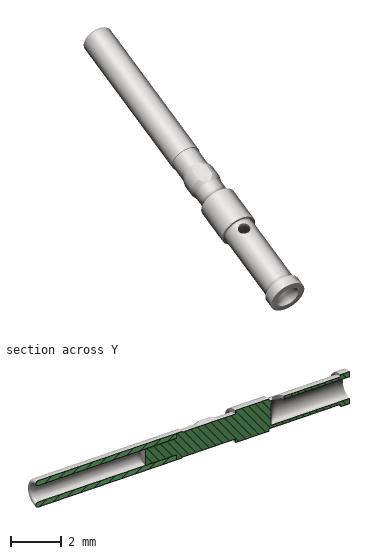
import cadquery as cq

TOTAL_LENGTH = 14.88
SLEEVE_END = 6.68
NECK_START = 6.95
BAND_START = 7.72
BAND_END = 8.75
BAND_BEVEL = 0.27
COLLAR_START = 9.45
COLLAR_END = 11.07
FLANGE_LENGTH = 0.45
WIRE_BORE_DEPTH = 3.72
SPIGOT_LENGTH = 1.49

SLEEVE_DIAMETER = 1.28
SOCKET_DIAMETER = 0.76
NECK_DIAMETER = 1.2
BAND_DIAMETER = 1.35
COLLAR_DIAMETER = 1.55
BARREL_DIAMETER = 1.32
WIRE_BORE_DIAMETER = 1.01

MOUTH_RADIUS = (SLEEVE_DIAMETER - SOCKET_DIAMETER) / 4

BAND_FLAT_HEIGHT = 1.2

INSPECTION_HOLE_DIAMETER = 0.5
INSPECTION_HOLE_X = 11.5


def cylinder_x(start, end, diameter):
    """Solid cylinder on the X axis between two stations."""
    return cq.Workplane("YZ").workplane(offset=start).circle(diameter / 2).extrude(end - start)


def revolve_about_x(profile):
    """Turn a closed profile, drawn as X and radius, about the X axis."""
    return profile.close().revolve(360, (0, 0, 0), (1, 0, 0))


def make_sleeve():
    """Front tube whose wall ends in a full round at the mouth."""
    outer = SLEEVE_DIAMETER / 2
    inner = SOCKET_DIAMETER / 2
    profile = (
        cq.Workplane("XY")
        .moveTo(MOUTH_RADIUS, inner)
        .threePointArc((0, (inner + outer) / 2), (MOUTH_RADIUS, outer))
        .lineTo(SLEEVE_END, outer)
        .lineTo(SLEEVE_END, inner)
    )
    return revolve_about_x(profile)


def make_retention_band():
    """Bevelled ring around the neck with a flat on its top and bottom."""
    low = NECK_DIAMETER / 2
    high = BAND_DIAMETER / 2
    profile = (
        cq.Workplane("XY")
        .moveTo(BAND_START, 0)
        .lineTo(BAND_START, low)
        .lineTo(BAND_START + BAND_BEVEL, high)
        .lineTo(BAND_END - BAND_BEVEL, high)
        .lineTo(BAND_END, low)
        .lineTo(BAND_END, 0)
    )
    between_flats = cq.Workplane("XY").box(
        BAND_END - BAND_START, BAND_DIAMETER, BAND_FLAT_HEIGHT
    ).translate(((BAND_START + BAND_END) / 2, 0, 0))
    return revolve_about_x(profile).intersect(between_flats)


def make_contact():
    """Rear body: spigot, shoulder, neck, band, collar and hollow wire barrel."""
    spigot = cylinder_x(SLEEVE_END - SPIGOT_LENGTH, SLEEVE_END, SOCKET_DIAMETER)
    shoulder = cylinder_x(SLEEVE_END, NECK_START, SLEEVE_DIAMETER)
    neck = cylinder_x(NECK_START, COLLAR_START, NECK_DIAMETER)
    collar = cylinder_x(COLLAR_START, COLLAR_END, COLLAR_DIAMETER)
    barrel = cylinder_x(COLLAR_END, TOTAL_LENGTH, BARREL_DIAMETER)
    flange = cylinder_x(TOTAL_LENGTH - FLANGE_LENGTH, TOTAL_LENGTH, COLLAR_DIAMETER)
    wire_bore = cylinder_x(TOTAL_LENGTH - WIRE_BORE_DEPTH, TOTAL_LENGTH, WIRE_BORE_DIAMETER)

    inspection_hole = (
        cq.Workplane("XY")
        .center(INSPECTION_HOLE_X, 0)
        .circle(INSPECTION_HOLE_DIAMETER / 2)
        .extrude(BARREL_DIAMETER)
    )

    body = neck.union(shoulder).union(spigot).union(make_retention_band())
    body = body.union(collar).union(barrel).union(flange)
    return body.cut(wire_bore).cut(inspection_hole)


sleeve = make_sleeve()
contact = make_contact()

result = cq.Compound.makeCompound([sleeve.val(), contact.val()])